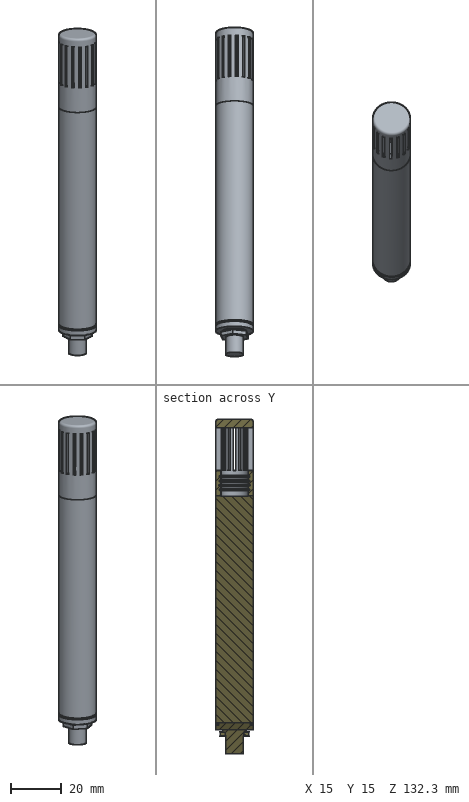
import cadquery as cq
import math

outer_diameter = 15.0
total_length = 132.3

stem_diameter = 7.0
collar_diameter = 9.4
nut_bottom = 7.0
nut_thickness = 1.7
nut_width_across_flats = 10.0
nut_top = nut_bottom + nut_thickness
nut_width_across_corners = nut_width_across_flats / math.cos(math.pi / 6)

plug_bottom = 9.5
flange_top = 11.5
boss_diameter = 12.7
tube_bottom = 12.2

cap_bottom = 101.9
cap_edge_radius = 1.0
cap_bore_diameter = 10.6
slot_count = 16
slot_width = 0.9
slot_bottom = 112.0
slot_top = 128.9

thread_major_diameter = 12.2
thread_pitch = 1.7
thread_top = 110.1
thread_ring_count = 4
thread_depth = (thread_major_diameter - cap_bore_diameter) / 2
thread_half_height = thread_depth * math.tan(math.pi / 6)


def disc(diameter, bottom, top):
    """Upright cylinder on the Z axis between two heights."""
    return cq.Workplane("XY").workplane(offset=bottom).circle(diameter / 2).extrude(top - bottom)


def slot_cutter(angle):
    """Radial slot from the Z axis out through the cap wall, turned to the given angle."""
    size = (outer_diameter, slot_width, slot_top - slot_bottom)
    cutter = cq.Workplane("XY").box(*size, centered=(False, True, False))
    return cutter.translate((0, 0, slot_bottom)).rotate((0, 0, 0), (0, 0, 1), angle)


def thread_groove(height):
    """V-shaped ring cut into the bore wall, with its root at the given height."""
    return (
        cq.Workplane("XZ")
        .moveTo(0, height + thread_half_height)
        .lineTo(cap_bore_diameter / 2, height + thread_half_height)
        .lineTo(thread_major_diameter / 2, height)
        .lineTo(cap_bore_diameter / 2, height - thread_half_height)
        .lineTo(0, height - thread_half_height)
        .close()
        .revolve(360, (0, 0, 0), (0, 1, 0))
    )


def make_cap():
    """Round-edged cap with an open bore, a thread and a ring of ventilation slots."""
    cap = disc(outer_diameter, cap_bottom, total_length)
    cap = cap.faces(">Z").edges().fillet(cap_edge_radius)
    cap = cap.cut(disc(cap_bore_diameter, cap_bottom, slot_top))
    for ring in range(thread_ring_count):
        cap = cap.cut(thread_groove(thread_top - thread_half_height - ring * thread_pitch))
    for slot in range(slot_count):
        cap = cap.cut(slot_cutter(slot * 360 / slot_count))
    return cap


def make_tube():
    """Main barrel between the end plug and the cap."""
    return disc(outer_diameter, tube_bottom, cap_bottom)


def make_plug():
    """Flange that closes the tube, with its boss against the tube end."""
    flange = disc(outer_diameter, plug_bottom, flange_top)
    return flange.union(disc(boss_diameter, flange_top, tube_bottom))


def make_nut():
    """Hex nut around the stem, with two corners on the X axis."""
    hexagon = cq.Workplane("XY").workplane(offset=nut_bottom).polygon(6, nut_width_across_corners)
    return hexagon.extrude(nut_thickness).cut(disc(stem_diameter, nut_bottom, nut_top))


def make_stem():
    """Connector stem with a collar between the nut and the end plug."""
    return disc(stem_diameter, 0, nut_top).union(disc(collar_diameter, nut_top, plug_bottom))


cap = make_cap()
tube = make_tube()
plug = make_plug()
nut = make_nut()
stem = make_stem()

result = cq.Compound.makeCompound([cap.val(), tube.val(), plug.val(), nut.val(), stem.val()])